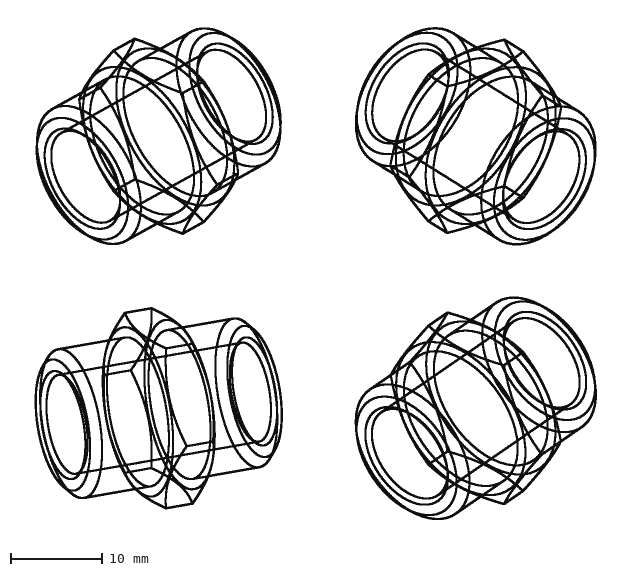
import cadquery as cq
import math

hex_sides = 6
total_length = 23.0
across_flats = 19.0
hex_width = 5.0
hex_face_diameter = 18.8
hex_chamfer_angle = 30.0
envelope_clearance = 0.23
body_diameter = 16.54
body_chamfer = 1.0
bore_diameter = 11.0
bore_chamfer = 0.5

across_corners = across_flats / math.cos(math.pi / hex_sides)


def cylinder(diameter, length):
    """Cylinder along Y, centred on the origin."""
    return cq.Workplane("XZ").circle(diameter / 2).extrude(length / 2, both=True)


def chamfered_hexagon():
    """Hexagon with corners on X, its corners trimmed by a cone on each side."""
    hexagon = (
        cq.Workplane("XZ")
        .polygon(hex_sides, across_corners)
        .extrude(hex_width / 2, both=True)
    )
    face_radius = hex_face_diameter / 2
    outer_radius = across_corners / 2 + envelope_clearance
    cone_drop = (outer_radius - face_radius) * math.tan(math.radians(hex_chamfer_angle))
    half_width = hex_width / 2
    trimming_envelope = (
        cq.Workplane("XY")
        .moveTo(0, -half_width)
        .lineTo(face_radius, -half_width)
        .lineTo(outer_radius, -half_width + cone_drop)
        .lineTo(outer_radius, half_width - cone_drop)
        .lineTo(face_radius, half_width)
        .lineTo(0, half_width)
        .close()
        .revolve(360, (0, 0, 0), (0, 1, 0))
    )
    return hexagon.intersect(trimming_envelope)


body = cylinder(body_diameter, total_length).faces("<Y or >Y").chamfer(body_chamfer)

nipple = body.union(chamfered_hexagon()).cut(cylinder(bore_diameter, total_length))
inner_mouth_edges = cq.selectors.RadiusNthSelector(0)
result = nipple.faces("<Y or >Y").edges(inner_mouth_edges).chamfer(bore_chamfer)